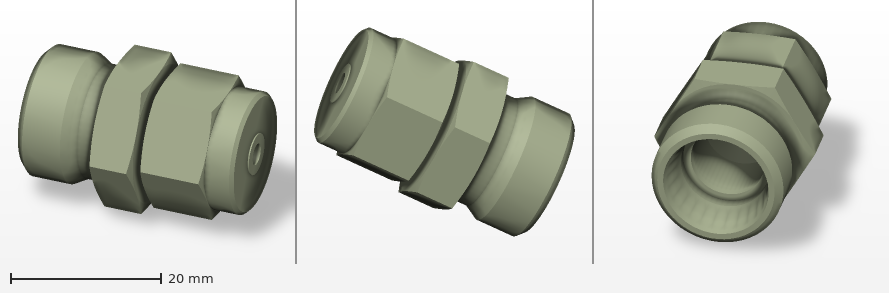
import cadquery as cq
import math

LENGTH = 31.0
THREAD_END = 6.4
GROOVE_START = 8.4
HEX_START = 11.0
HEX_END = 17.02
NUT_START = 17.85
NUT_END = 26.85
TIP_LENGTH = 0.2
CAP_END = LENGTH - TIP_LENGTH

THREAD_RADIUS = 9.0
THREAD_CHAMFER = 1.0
GROOVE_RADIUS = 7.85
GROOVE_FILLET = 1.0
NECK_RADIUS = 5.0
CAP_RADIUS = 8.4
CAP_CHAMFER = 0.5
TIP_RADIUS = 2.85

HEX_SIDES = 6
HEX_ACROSS_FLATS = 19.0
NUT_ACROSS_FLATS = 17.0
HEX_CHAMFER_ANGLE = 15.0

MOUTH_RADIUS = 7.2
SOCKET_RADIUS = 6.0
SOCKET_DEPTH = 7.0
SEAT_CONE_ANGLE = 12.0
BORE_RADIUS = 5.0
BORE_DEPTH = 15.5
DRILL_POINT_ANGLE = 59.0
HOLE_RADIUS = 1.5


def turn_about_x(profile):
    """Close a half profile along the X axis and revolve it into a solid."""
    return profile.close().revolve(360, (0, 0, 0), (1, 0, 0))


def turned_body():
    """Solid of revolution carrying the thread, groove, neck and cap."""
    fillet_start = HEX_START - GROOVE_FILLET
    arc_offset = GROOVE_FILLET * math.sqrt(0.5)
    fillet_middle = (
        fillet_start + arc_offset,
        GROOVE_RADIUS + GROOVE_FILLET - arc_offset,
    )
    profile = (
        cq.Workplane("XY")
        .moveTo(0, 0)
        .lineTo(0, THREAD_RADIUS - THREAD_CHAMFER)
        .lineTo(THREAD_CHAMFER, THREAD_RADIUS)
        .lineTo(THREAD_END, THREAD_RADIUS)
        .lineTo(GROOVE_START, GROOVE_RADIUS)
        .lineTo(fillet_start, GROOVE_RADIUS)
        .threePointArc(fillet_middle, (HEX_START, GROOVE_RADIUS + GROOVE_FILLET))
        .lineTo(HEX_END, GROOVE_RADIUS + GROOVE_FILLET)
        .lineTo(HEX_END, NECK_RADIUS)
        .lineTo(NUT_START, NECK_RADIUS)
        .lineTo(NUT_START, CAP_RADIUS)
        .lineTo(CAP_END - CAP_CHAMFER, CAP_RADIUS)
        .lineTo(CAP_END, CAP_RADIUS - CAP_CHAMFER)
        .lineTo(CAP_END, TIP_RADIUS)
        .lineTo(LENGTH, TIP_RADIUS)
        .lineTo(LENGTH, 0)
    )
    return turn_about_x(profile)


def chamfered_hexagon(start, end, across_flats):
    """Hexagon with flats facing +Z and -Z and its corners turned down at both ends."""
    flat_radius = across_flats / 2
    corner_radius = flat_radius / math.cos(math.pi / HEX_SIDES)
    chamfer_length = (corner_radius - flat_radius) * math.tan(math.radians(HEX_CHAMFER_ANGLE))
    prism = (
        cq.Workplane("YZ", origin=(start, 0, 0))
        .polygon(HEX_SIDES, 2 * corner_radius)
        .extrude(end - start)
    )
    envelope_profile = (
        cq.Workplane("XY")
        .moveTo(start, 0)
        .lineTo(start, flat_radius)
        .lineTo(start + chamfer_length, corner_radius)
        .lineTo(end - chamfer_length, corner_radius)
        .lineTo(end, flat_radius)
        .lineTo(end, 0)
    )
    return prism.intersect(turn_about_x(envelope_profile))


def inner_cavity():
    """Tapered seat, tube socket, drilled bore and small through hole."""
    seat_depth = (MOUTH_RADIUS - SOCKET_RADIUS) / math.tan(math.radians(SEAT_CONE_ANGLE))
    drill_point = (BORE_RADIUS - HOLE_RADIUS) / math.tan(math.radians(DRILL_POINT_ANGLE))
    profile = (
        cq.Workplane("XY")
        .moveTo(0, 0)
        .lineTo(0, MOUTH_RADIUS)
        .lineTo(seat_depth, SOCKET_RADIUS)
        .lineTo(SOCKET_DEPTH, SOCKET_RADIUS)
        .lineTo(SOCKET_DEPTH, BORE_RADIUS)
        .lineTo(BORE_DEPTH, BORE_RADIUS)
        .lineTo(BORE_DEPTH + drill_point, HOLE_RADIUS)
        .lineTo(LENGTH, HOLE_RADIUS)
        .lineTo(LENGTH, 0)
    )
    return turn_about_x(profile)


body_hexagon = chamfered_hexagon(HEX_START, HEX_END, HEX_ACROSS_FLATS)
nut_hexagon = chamfered_hexagon(NUT_START, NUT_END, NUT_ACROSS_FLATS)
result = turned_body().union(body_hexagon).union(nut_hexagon).cut(inner_cavity())